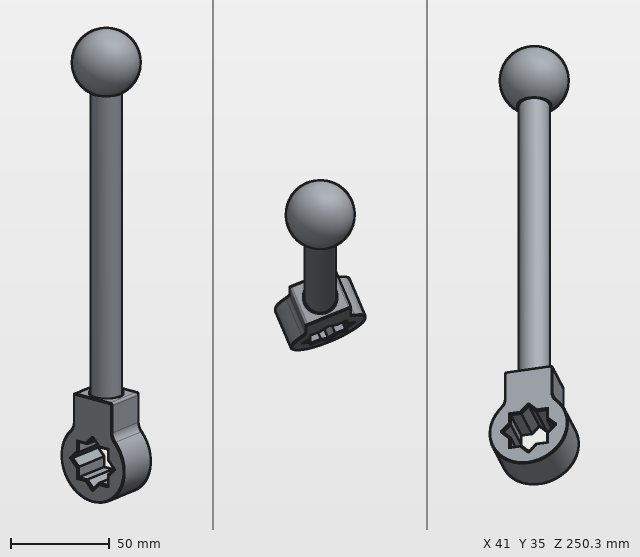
import cadquery as cq
import math

overall_height = 250.3

ring_radius = 20.5
head_thickness = 22.0
neck_width = 25.0
neck_top = 55.5
neck_blend_radius = 6.5
neck_top_fillet = 1.3
edge_chamfer = 0.45

socket_width = 19.0
socket_chamfer = 0.8
socket_angles = (0, 45)

shank_diameter = 16.0
shank_seat_chamfer = 0.8
ball_radius = 17.5
ball_flat_radius = 8.8

ring_center_z = ring_radius
ball_center_z = overall_height - ball_radius
shank_bottom = neck_top - shank_seat_chamfer
half_thickness = head_thickness / 2


def make_head():
    """Ring with a blended neck, centred on the XZ plane."""
    half_neck = neck_width / 2

    blend_x = half_neck + neck_blend_radius
    center_distance = ring_radius + neck_blend_radius
    blend_rise = math.sqrt(center_distance**2 - blend_x**2)
    blend_z = ring_center_z + blend_rise
    touch_x = blend_x * ring_radius / center_distance
    touch_z = ring_center_z + blend_rise * ring_radius / center_distance
    arc_angle = math.atan2(blend_rise, blend_x) / 2
    middle_x = blend_x - neck_blend_radius * math.cos(arc_angle)
    middle_z = blend_z - neck_blend_radius * math.sin(arc_angle)

    head = (
        cq.Workplane("XZ")
        .moveTo(-half_neck, neck_top)
        .lineTo(half_neck, neck_top)
        .lineTo(half_neck, blend_z)
        .threePointArc((middle_x, middle_z), (touch_x, touch_z))
        .threePointArc((0, 0), (-touch_x, touch_z))
        .threePointArc((-middle_x, middle_z), (-half_neck, blend_z))
        .close()
        .extrude(half_thickness, both=True)
    )
    head = head.faces(">Z").edges("|Y").fillet(neck_top_fillet)
    return head.faces("<Y or >Y").edges().chamfer(edge_chamfer)


def make_square_cutter(angle):
    """Square bar along Y with its ends flared to chamfer the socket mouths."""
    bar = cq.Workplane("XZ").rect(socket_width, socket_width).extrude(half_thickness, both=True)
    mouth_width = socket_width + 2 * socket_chamfer
    flare = (
        cq.Workplane("XZ", origin=(0, -half_thickness, 0))
        .rect(mouth_width, mouth_width)
        .workplane(offset=-socket_chamfer)
        .rect(socket_width, socket_width)
        .loft(ruled=True)
    )
    cutter = bar.union(flare).union(flare.mirror("XZ"))
    return cutter.rotate((0, 0, 0), (0, 1, 0), angle).translate((0, 0, ring_center_z))


def make_shank_seat():
    """Cone that countersinks the top of the neck around the shank."""
    shank_radius = shank_diameter / 2
    return cq.Workplane(
        cq.Solid.makeCone(
            shank_radius,
            shank_radius + shank_seat_chamfer,
            shank_seat_chamfer,
            pnt=cq.Vector(0, 0, shank_bottom),
        )
    )


def make_handle():
    """Shank rising from the neck into the ball knob."""
    shank = (
        cq.Workplane("XY", origin=(0, 0, shank_bottom))
        .circle(shank_diameter / 2)
        .extrude(ball_center_z - shank_bottom)
    )
    ball_flat_angle = -math.degrees(math.acos(ball_flat_radius / ball_radius))
    ball = cq.Workplane("XY").sphere(ball_radius, angle1=ball_flat_angle, angle2=90)
    ball = ball.translate((0, 0, ball_center_z))
    return shank.union(ball)


head = make_head().cut(make_shank_seat())
for angle in socket_angles:
    head = head.cut(make_square_cutter(angle))

result = head.union(make_handle())